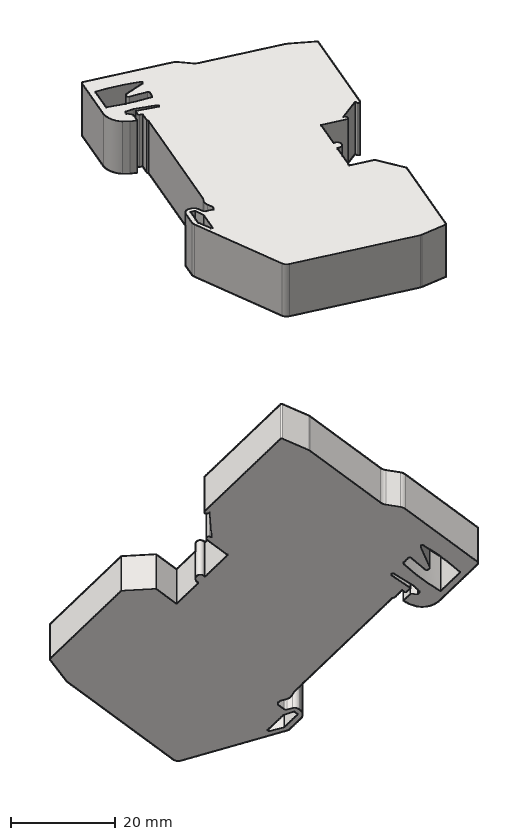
import cadquery as cq
import math


length = 72.4
height = 47.3
thickness = 12.1

body_left = 2.0
foot_shoulder_low = 19.3
foot_shoulder_high = 22.7
foot_blend_radius = 2.2
foot_corner_radius = 0.4

slant_start = 41.4
slant_run_left = 1.45
slant_run_right = 1.7
slant_radius = 0.9
crown_radius = 0.3

recess_left = 30.3
recess_right = 45.2
recess_floor = 37.35
chamfer_size = 4.7
lip_edge = 26.0
lip_underside = 46.6
lip_notch_x = 25.35
lip_notch_y = 46.3
bead_foot_x = 29.3
bead_foot_y = 42.35
bead_left = 29.55
bead_top = 43.0
bead_radius = 0.3
stud_x = 37.9
stud_radius = 0.95
stud_height = 1.3

seat_level = 7.2
seat_lip_level = 6.95
seat_left = 17.0
seat_right = 45.5
seat_step = 0.35
seat_end_x = 47.1
seat_end_y = 6.8
seat_end_radius = 1.8

hook_arc_start = 11.65
hook_arc_mid = (14.1, 0.95)
hook_arc_end = (15.35, 2.4)
hook_nose = (15.85, 3.8)
hook_tip = 16.1
hook_top = 5.2
hook_top_left = 14.0
slot_floor = 4.1
slot_floor_left = 12.45
slot_floor_right = 13.1
slot_neck_x = 12.15
slot_neck_y = 6.0
slot_top = 10.9
slot_top_left = 12.6
slot_top_right = 13.2
slot_end_radius = 0.3
stop_level = 6.1
stop_left = 12.95
stop_right = 14.4
stop_radius = 0.2

spring_left = 47.85
spring_bottom = 2.2
spring_radius = 1.4
spring_top_left_y = 4.55
spring_notch_x = 49.75
spring_notch_y = 5.7
spring_notch_radius = 0.6
groove_top = 7.8
groove_top_left = 48.8
groove_radius = 0.35
ramp_start = 52.8
ramp_angle = math.radians(30)
ramp_end = spring_bottom + (length - ramp_start) * math.tan(ramp_angle)
ramp_start_radius = 1.3
ramp_end_radius = 1.45

eye_left = 48.9
eye_right = 55.45
eye_bottom = 3.25
eye_top = 5.2
eye_left_top = 4.2
eye_top_left = 50.8
eye_bottom_right = 52.85
eye_tip = 4.85

window_left = 4.0
window_right = 9.7
window_bottom = 1.3
window_top = 10.9
window_bow = 0.25
window_bow_y = 6.2
window_shoulder = 10.4
window_radius = 0.35
left_prong_right = 4.55
prong_radius = 0.2
tooth_root_right = 7.7
tooth_tip_left = 7.0
tooth_tip_right = 8.0
tooth_tip = 6.3
tooth_radius = 0.4


def add_rounded_path(sketch, start, corners, end):
    """Draw from the start (the current point) through (x, y, radius) corners to the end."""
    previous = cq.Vector(*start)
    for index, (x, y, radius) in enumerate(corners):
        corner = cq.Vector(x, y)
        following = cq.Vector(*(corners[index + 1][:2] if index + 1 < len(corners) else end))
        if radius == 0:
            sketch = sketch.lineTo(x, y)
        else:
            back = (previous - corner).normalized()
            ahead = (following - corner).normalized()
            half_angle = back.getAngle(ahead) / 2
            setback = radius / math.tan(half_angle)
            center_distance = radius / math.sin(half_angle)
            bisector = (back + ahead).normalized()
            arc_start = corner + back * setback
            arc_mid = corner + bisector * (center_distance - radius)
            arc_end = corner + ahead * setback
            sketch = sketch.lineTo(arc_start.x, arc_start.y)
            sketch = sketch.threePointArc((arc_mid.x, arc_mid.y), (arc_end.x, arc_end.y))
        previous = corner
    return sketch.lineTo(*end)


def make_body():
    """Outer profile, drawn counterclockwise from the start of the hook's round."""
    outline_corners = [
        (hook_top_left, hook_top, 0),
        (slot_floor_right, slot_floor, 0),
        (slot_floor_left, slot_floor, 0),
        (slot_neck_x, slot_neck_y, 0),
        (slot_top_left, slot_top, slot_end_radius),
        (slot_top_right, slot_top, slot_end_radius),
        (stop_left, stop_level, 0),
        (stop_right, stop_level, stop_radius),
        (stop_right, seat_lip_level, 0),
        (seat_left - seat_step, seat_lip_level, 0),
        (seat_left, seat_level, 0),
        (seat_right, seat_level, 0),
        (seat_end_x, seat_end_y, seat_end_radius),
        (groove_top_left, groove_top, groove_radius),
        (spring_notch_x, groove_top, groove_radius),
        (spring_notch_x, spring_notch_y, spring_notch_radius),
        (spring_left, spring_top_left_y, spring_radius),
        (spring_left, spring_bottom, spring_radius),
        (ramp_start, spring_bottom, ramp_start_radius),
        (length, ramp_end, ramp_end_radius),
        (length, slant_start, slant_radius),
        (length - slant_run_right, height, crown_radius),
        (recess_right + chamfer_size, height, 0),
        (recess_right, height - chamfer_size, 0),
        (recess_right, recess_floor, 0),
        (recess_left, recess_floor, 0),
        (recess_left, bead_top, bead_radius),
        (bead_left, bead_top, bead_radius),
        (bead_foot_x, bead_foot_y, 0),
        (lip_notch_x, lip_notch_y, 0),
        (lip_edge, lip_underside, bead_radius),
        (lip_edge, height, bead_radius),
        (body_left + slant_run_left, height, crown_radius),
        (body_left, slant_start, slant_radius),
        (body_left, foot_shoulder_high, foot_blend_radius),
        (0, foot_shoulder_low, foot_blend_radius),
        (0, 0, foot_corner_radius),
    ]
    profile = cq.Workplane("XY").moveTo(hook_arc_start, 0)
    profile = profile.threePointArc(hook_arc_mid, hook_arc_end)
    profile = profile.lineTo(*hook_nose).lineTo(hook_tip, hook_top)
    profile = add_rounded_path(profile, (hook_tip, hook_top), outline_corners, (hook_arc_start, 0))
    return profile.close().extrude(thickness)


def make_stud():
    """Round-topped stud near the middle of the recess floor."""
    round_y = recess_floor + stud_height - stud_radius
    return (
        cq.Workplane("XY")
        .moveTo(stud_x - stud_radius, recess_floor - stud_radius)
        .lineTo(stud_x + stud_radius, recess_floor - stud_radius)
        .lineTo(stud_x + stud_radius, round_y)
        .threePointArc((stud_x, recess_floor + stud_height), (stud_x - stud_radius, round_y))
        .close()
        .extrude(thickness)
    )


def make_window():
    """Opening in the fixed foot: bowed side walls and two prongs around the tooth."""
    right_wall_top = (window_right, window_shoulder)
    left_wall_top = (window_left, window_shoulder)
    top_corners = [
        (window_right, window_top, window_radius),
        (tooth_root_right, window_top, window_radius),
        (tooth_tip_right, tooth_tip, tooth_radius),
        (tooth_tip_left, tooth_tip, tooth_radius),
        (left_prong_right, window_top, prong_radius),
        (window_left, window_top, prong_radius),
    ]
    window = cq.Workplane("XY").moveTo(window_left, window_bottom).lineTo(window_right, window_bottom)
    window = window.threePointArc((window_right + window_bow, window_bow_y), right_wall_top)
    window = add_rounded_path(window, right_wall_top, top_corners, left_wall_top)
    window = window.threePointArc((window_left - window_bow, window_bow_y), (window_left, window_bottom))
    return window.close().extrude(thickness)


def make_eye():
    """Tapered opening that makes the spring foot flexible."""
    corners = [
        (eye_left, eye_bottom),
        (eye_bottom_right, eye_bottom),
        (eye_right, eye_tip),
        (eye_right, eye_top),
        (eye_top_left, eye_top),
        (eye_left, eye_left_top),
    ]
    return cq.Workplane("XY").polyline(corners).close().extrude(thickness)


result = make_body().union(make_stud()).cut(make_window()).cut(make_eye())